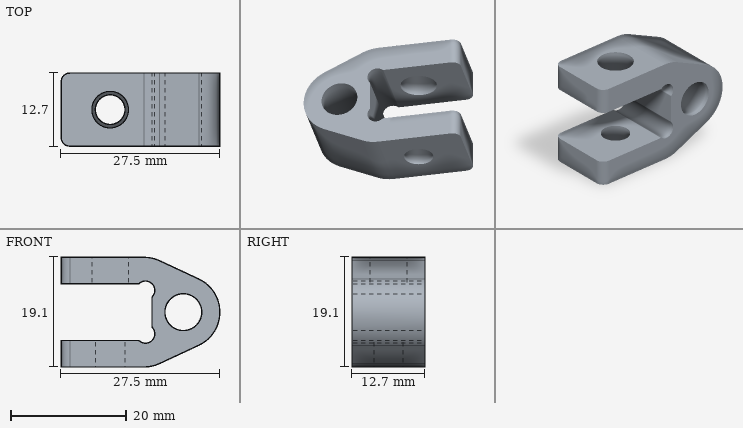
import cadquery as cq
import math

length = 27.53
width = 12.7
height = 19.05

nose_radius = 6.35
pivot_diameter = 6.35
taper_angle = math.radians(25)
shoulder_radius = 6.35

slot_height = 9.8
slot_depth = 15.75
relief_radius = 1.6
relief_inset = relief_radius * math.sqrt(0.5)
relief_lip_radius = 0.25

arm_corner_radius = 1.5
arm_hole_from_tip = 8.5
upper_hole_diameter = 6.35
lower_hole_diameter = 5.1

half_height = height / 2
arm_tip_x = nose_radius - length
slot_floor_x = arm_tip_x + slot_depth
arm_hole_x = arm_tip_x + arm_hole_from_tip

nose_tangent_x = nose_radius * math.sin(taper_angle)
nose_tangent_z = nose_radius * math.cos(taper_angle)
flank_corner_x = nose_tangent_x - (half_height - nose_tangent_z) / math.tan(taper_angle)
shoulder_start_x = flank_corner_x - shoulder_radius * math.tan(taper_angle / 2)


def shoulder_point(angle):
    """Point on the upper shoulder arc, turned by angle from its start."""
    x = shoulder_start_x + shoulder_radius * math.sin(angle)
    z = half_height - shoulder_radius * (1 - math.cos(angle))
    return x, z


def mirrored(point):
    """Same point on the other side of the mid-plane."""
    return point[0], -point[1]


def along_y(sketch):
    """Extrude an XZ profile over the full width, centred on Y = 0."""
    return sketch.extrude(width / 2, both=True)


def make_body():
    """Full side profile with nose, flanks and shoulders, before the slot is cut."""
    shoulder_mid = shoulder_point(taper_angle / 2)
    shoulder_end = shoulder_point(taper_angle)
    nose_tangent = (nose_tangent_x, nose_tangent_z)
    profile = (
        cq.Workplane("XZ")
        .moveTo(arm_tip_x, half_height)
        .lineTo(shoulder_start_x, half_height)
        .threePointArc(shoulder_mid, shoulder_end)
        .lineTo(*nose_tangent)
        .threePointArc((nose_radius, 0), mirrored(nose_tangent))
        .lineTo(*mirrored(shoulder_end))
        .threePointArc(mirrored(shoulder_mid), (shoulder_start_x, -half_height))
        .lineTo(arm_tip_x, -half_height)
        .close()
    )
    body = along_y(profile)
    return body.edges("|Z and <X").fillet(arm_corner_radius)


def make_slot():
    """Open slot between the arms, with a round relief in each inner corner."""
    slot = along_y(
        cq.Workplane("XZ").center(arm_tip_x + slot_depth / 2, 0).rect(slot_depth, slot_height)
    )
    relief_x = slot_floor_x - relief_inset
    relief_z = slot_height / 2 - relief_inset
    reliefs = along_y(
        cq.Workplane("XZ")
        .pushPoints([(relief_x, relief_z), (relief_x, -relief_z)])
        .circle(relief_radius)
    )
    slot = slot.union(reliefs)

    for side in (1, -1):
        floor_lip = (slot_floor_x, 0, side * (relief_z - relief_inset))
        wall_lip = (relief_x - relief_inset, 0, side * slot_height / 2)
        for lip in (floor_lip, wall_lip):
            slot = slot.edges(cq.selectors.NearestToPointSelector(lip)).fillet(relief_lip_radius)
    return slot


def make_pivot_hole():
    """Cross hole through the nose."""
    return along_y(cq.Workplane("XZ").circle(pivot_diameter / 2))


def make_arm_holes():
    """Larger clearance hole in the upper arm, smaller hole in the lower arm."""
    center = cq.Workplane("XY").center(arm_hole_x, 0)
    upper = center.circle(upper_hole_diameter / 2).extrude(half_height)
    lower = center.circle(lower_hole_diameter / 2).extrude(-half_height)
    return upper.union(lower)


result = make_body().cut(make_slot()).cut(make_pivot_hole()).cut(make_arm_holes())